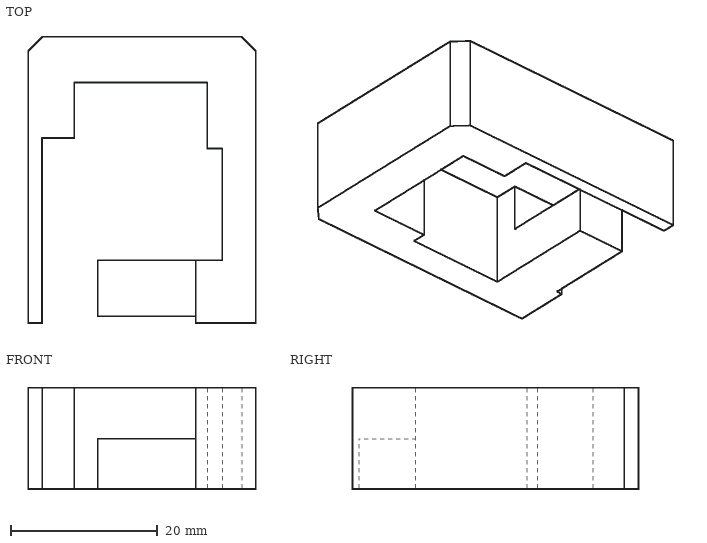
import cadquery as cq

width = 31.0
length = 39.0
height = 13.8
corner_chamfer = 1.95

left_wall = 1.9
right_wall = 4.6
back_wall = 6.28

left_shoulder = 6.28
left_shoulder_front = 25.2
right_shoulder = 6.63
right_shoulder_front = 23.75

foot_width = 8.2
foot_back = 8.58
tongue_length = 13.35
tongue_front = 0.9
tongue_height = 6.85


def make_frame():
    """Full-height frame, open at the front, with chamfered back corners."""
    inner_back = length - back_wall
    outline = [
        (0, 0),
        (left_wall, 0),
        (left_wall, left_shoulder_front),
        (left_shoulder, left_shoulder_front),
        (left_shoulder, inner_back),
        (width - right_shoulder, inner_back),
        (width - right_shoulder, right_shoulder_front),
        (width - right_wall, right_shoulder_front),
        (width - right_wall, foot_back),
        (width - foot_width, foot_back),
        (width - foot_width, 0),
        (width, 0),
        (width, length - corner_chamfer),
        (width - corner_chamfer, length),
        (corner_chamfer, length),
        (0, length - corner_chamfer),
    ]
    return cq.Workplane("XY").polyline(outline).close().extrude(height)


def make_tongue():
    """Low block attached to the left side of the foot, flush with its back."""
    block_length = tongue_length + foot_width
    return cq.Workplane("XY").box(
        block_length, foot_back - tongue_front, tongue_height, centered=False
    ).translate((width - block_length, tongue_front, 0))


result = make_frame().union(make_tongue())